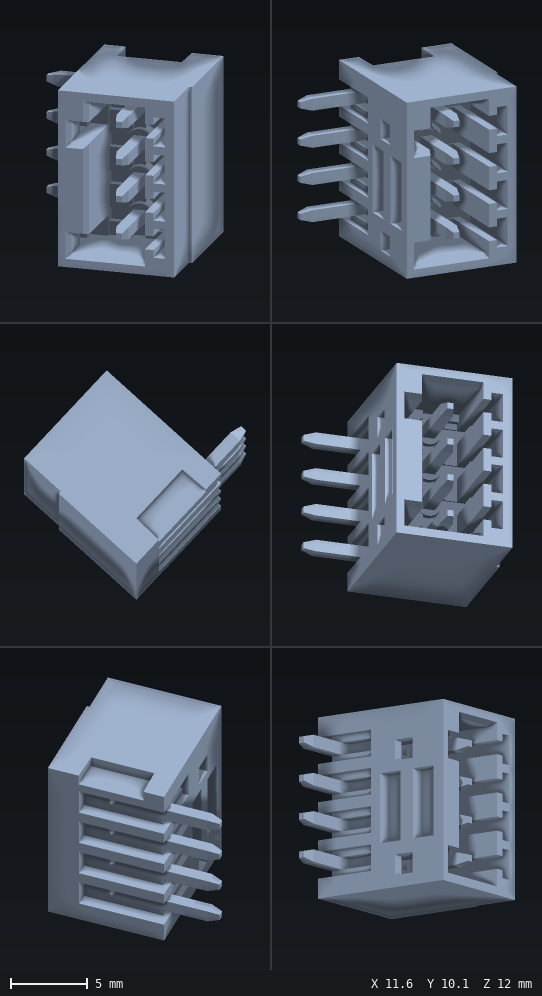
import cadquery as cq
import math


body_width = 8.11
body_depth = 10.1
body_height = 12.02
front_step = 0.19
front_step_length = 3.25

pin_count = 4
pitch = 2.54
pin_x = 3.93
pin_size = 0.82
pin_tip_size = 0.42
pin_taper = 0.78
pin_front_y = 0.72
tail_y = 8.87
tail_reach = 3.49
stub_radius = 0.26
stub_tip_radius = 0.02
stub_length = 0.22

cavity_left = 1.72
cavity_right = 5.94
cavity_wall = 0.56
cavity_depth = 5.05
keyway_depth = 4.81
key_left = 0.52
upper_key_bottom = 8.16
upper_key_top = 10.05
lower_key_top = 2.4
lead_in_inset = 0.22
lead_in_depth = 0.59

socket_depth = 5.53
pocket_depth = 5.41
stem_width = 0.94
tee_left = 6.5
tee_right = 7.28
tee_height = 1.97
groove_width = 0.88
pocket_half_height = 4.7
clearance_radius = 0.99
cone_top_radius = 1.01
cone_base_radius = 1.29
collar_radius = 0.9
collar_top_radius = 0.85
collar_height = 0.3

slot_height = 1.77
slot_front_y = 5.8
shelf_depth = 0.4
shelf_rear_y = 9.23
channel_height = 0.83
channel_fillet = 0.76

window_y = 2.46
window_length = 1.43
window_height = 1.37
upper_window_bottom = 8.41
lower_window_bottom = 0.8
recess_bottom = 3.07
recess_height = 4.64
recess_length = 1.63
recess_depth = 0.95
recess_starts = (0.8, 3.46)

notch_left = 1.43
notch_right = 5.96
notch_draft = 0.06
notch_length = 2.04
notch_depth = 0.72

pin_levels = [body_height / 2 + (i - (pin_count - 1) / 2) * pitch for i in range(pin_count)]


def block(x0, x1, y0, y1, z0, z1):
    """Box given by its limits along each axis."""
    return cq.Workplane("XY").box(x1 - x0, y1 - y0, z1 - z0, centered=False).translate((x0, y0, z0))


def level_block(x0, x1, y0, y1, level, height):
    """Box centred on one pin level."""
    return block(x0, x1, y0, y1, level - height / 2, level + height / 2)


def cone(base_radius, top_radius, base_y, top_y, level):
    """Round frustum or cylinder on the axis of the pin at one level, along Y."""
    profile = [(0, base_y), (base_radius, base_y), (top_radius, top_y), (0, top_y)]
    return (
        cq.Workplane("XY")
        .polyline(profile)
        .close()
        .revolve(360, (0, 0), (0, 1))
        .translate((pin_x, 0, level))
    )


def cavity_outline(y, inset):
    """Keyed cavity outline at depth y, drawn in by inset on every side but the right."""
    left = cavity_left + inset
    key = key_left + inset
    bottom = cavity_wall + inset
    top = body_height - cavity_wall - inset
    points = [
        (key, bottom),
        (cavity_right, bottom),
        (cavity_right, top),
        (left, top),
        (left, upper_key_top - inset),
        (key, upper_key_top - inset),
        (key, upper_key_bottom + inset),
        (left, upper_key_bottom + inset),
        (left, lower_key_top - inset),
        (key, lower_key_top - inset),
    ]
    return cq.Wire.makePolygon([cq.Vector(x, y, z) for x, z in points], close=True)


def make_cavity():
    mouth = cavity_outline(0, 0)
    throat = cavity_outline(lead_in_depth, lead_in_inset)
    lead_in = cq.Solid.makeLoft([mouth, throat], True)
    straight = cq.Solid.extrudeLinear(throat, [], cq.Vector(0, cavity_depth - lead_in_depth, 0))
    cavity = cq.Workplane(obj=lead_in).union(cq.Workplane(obj=straight))
    keyway_floor = block(
        key_left, cavity_left + lead_in_inset, keyway_depth, cavity_depth, 0, upper_key_top
    )
    return cavity.cut(keyway_floor)


def make_floor_pocket():
    """Deep strip of the cavity floor on the right of the pins, less the cone around each pin."""
    middle = body_height / 2
    pocket = level_block(
        pin_x, cavity_right, cavity_depth, pocket_depth, middle, 2 * pocket_half_height
    )
    for level in pin_levels:
        pocket = pocket.cut(cone(cone_base_radius, cone_top_radius, pocket_depth, cavity_depth, level))
    return pocket


def make_tee_slot(level):
    stem = level_block(
        cavity_left + lead_in_inset, tee_left, cavity_depth, socket_depth, level, stem_width
    )
    gap = level_block(cavity_right, tee_left, 0, socket_depth, level, stem_width)
    head = level_block(tee_left, tee_right, 0, socket_depth, level, tee_height)
    return stem.union(gap).union(head)


def make_cross_groove():
    """Groove through the whole pin row in the cavity floor."""
    edge = cavity_wall + lead_in_inset
    half_width = groove_width / 2
    return block(
        pin_x - half_width, pin_x + half_width, cavity_depth, socket_depth,
        edge, body_height - edge,
    )


def make_tail_slot(level):
    """Stepped slot for a tail, with a narrow channel rounded at its front end."""
    shelf = level_block(0, shelf_depth, slot_front_y, shelf_rear_y, level, slot_height)
    rear = level_block(0, cavity_right, shelf_rear_y, body_depth, level, slot_height)
    channel_floor = shelf_depth + channel_fillet
    bend = channel_fillet * math.sqrt(0.5)
    channel = (
        cq.Workplane("XY")
        .moveTo(shelf_depth, slot_front_y)
        .threePointArc(
            (shelf_depth + bend, slot_front_y + channel_fillet - bend),
            (channel_floor, slot_front_y + channel_fillet),
        )
        .lineTo(channel_floor, shelf_rear_y)
        .lineTo(shelf_depth, shelf_rear_y)
        .close()
        .extrude(channel_height)
        .translate((0, 0, level - channel_height / 2))
    )
    return shelf.union(rear).union(channel)


def make_notch():
    return (
        cq.Workplane("XY", origin=(0, 0, body_height - notch_depth))
        .moveTo(notch_left, body_depth)
        .lineTo(notch_left + notch_draft, body_depth - notch_length)
        .lineTo(notch_right - notch_draft, body_depth - notch_length)
        .lineTo(notch_right, body_depth)
        .close()
        .extrude(notch_depth)
    )


def tapered_bar(plane, length):
    """Square bar along the plane normal, tapered to a blunt point at its far end."""
    return (
        cq.Workplane(plane)
        .rect(pin_size, pin_size)
        .extrude(length - pin_taper)
        .faces(cq.selectors.DirectionMinMaxSelector(plane.zDir, True))
        .workplane()
        .rect(pin_size, pin_size)
        .workplane(offset=pin_taper)
        .rect(pin_tip_size, pin_tip_size)
        .loft(ruled=True)
    )


def make_pin(level):
    """Right-angled pin with a short conical stub at the back of its corner."""
    rear_y = tail_y + pin_size / 2
    corner_x = pin_x + pin_size / 2
    contact_plane = cq.Plane((pin_x, rear_y, level), xDir=(1, 0, 0), normal=(0, -1, 0))
    tail_plane = cq.Plane((corner_x, tail_y, level), xDir=(0, 1, 0), normal=(-1, 0, 0))
    contact = tapered_bar(contact_plane, rear_y - pin_front_y)
    tail = tapered_bar(tail_plane, corner_x + tail_reach)
    stub = cone(stub_radius, stub_tip_radius, rear_y, rear_y + stub_length, level)
    return contact.union(tail).union(stub)


housing = block(0, body_width, 0, body_depth, 0, body_height)
housing = housing.cut(
    block(body_width - front_step, body_width, 0, front_step_length, 0, body_height)
)
housing = housing.cut(make_cavity()).cut(make_notch())

housing = housing.cut(make_floor_pocket()).cut(make_cross_groove())
for level in pin_levels:
    bore = cone(clearance_radius, clearance_radius, socket_depth, cavity_depth, level)
    housing = housing.cut(make_tee_slot(level)).cut(bore).cut(make_tail_slot(level))

for bottom in (upper_window_bottom, lower_window_bottom):
    housing = housing.cut(
        block(0, cavity_left, window_y, window_y + window_length, bottom, bottom + window_height)
    )
for start in recess_starts:
    housing = housing.cut(
        block(0, recess_depth, start, start + recess_length, recess_bottom, recess_bottom + recess_height)
    )

result = housing
for level in pin_levels:
    collar = cone(collar_radius, collar_top_radius, socket_depth, socket_depth - collar_height, level)
    result = result.union(collar).union(make_pin(level))